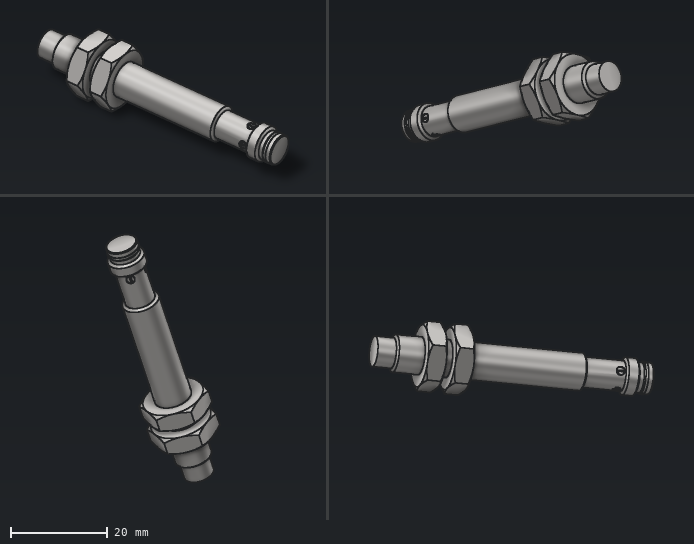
import cadquery as cq
import math

LENGTH = 60.0
NECK_DIAMETER = 6.5
BODY_DIAMETER = 8.0
TIP_LENGTH = 4.0
BODY_END = 45.5
BODY_FRONT_CONE = 0.4
BODY_REAR_CONE = 0.4

COLLAR_START = 53.95
COLLAR_END = 56.95
COLLAR_CONE = 0.4
PLUG_RIDGE_START = 58.2
PLUG_RIDGE_END = 58.8
PLUG_RIDGE_DIAMETER = 6.9
PLUG_RIDGE_LEAD_IN = 0.3
PLUG_DIAMETER = 6.7
PLUG_END_CHAMFER = 0.2

NUT_FLATS = 13.0
NUT_THICKNESS = 4.0
NUT_STARTS = (10.0, 16.0)
NUT_CHAMFER_ANGLE = 30.0

WINDOW_X = 52.8
WINDOW_DIAMETER = 1.8
WINDOW_FLOOR_DIAMETER = 6.0
WINDOW_SLOT_WIDTH = 0.25
WINDOW_SLOT_DEPTH = 0.5
WINDOW_COUNT = 4


def make_barrel():
    neck = NECK_DIAMETER / 2
    body = BODY_DIAMETER / 2
    ridge = PLUG_RIDGE_DIAMETER / 2
    plug = PLUG_DIAMETER / 2
    profile = [
        (0, 0),
        (0, neck),
        (TIP_LENGTH, neck),
        (TIP_LENGTH + BODY_FRONT_CONE, body),
        (BODY_END - BODY_REAR_CONE, body),
        (BODY_END, neck),
        (COLLAR_START, neck),
        (COLLAR_START + COLLAR_CONE, body),
        (COLLAR_END - COLLAR_CONE, body),
        (COLLAR_END, neck),
        (PLUG_RIDGE_START - PLUG_RIDGE_LEAD_IN, neck),
        (PLUG_RIDGE_START, ridge),
        (PLUG_RIDGE_END, ridge),
        (PLUG_RIDGE_END, plug),
        (LENGTH - PLUG_END_CHAMFER, plug),
        (LENGTH, plug - PLUG_END_CHAMFER),
        (LENGTH, 0),
    ]
    return cq.Workplane("XY").polyline(profile).close().revolve(360, (0, 0, 0), (1, 0, 0))


def make_nut(start):
    """Hexagon with two corners on the Y axis and both ends chamfered by a cone."""
    flat_radius = NUT_FLATS / 2
    corner_radius = flat_radius / math.cos(math.pi / 6)
    drop = (corner_radius - flat_radius) * math.tan(math.radians(NUT_CHAMFER_ANGLE))
    end = start + NUT_THICKNESS
    hexagon = (
        cq.Workplane("YZ", origin=(start, 0, 0))
        .polygon(6, 2 * corner_radius)
        .extrude(NUT_THICKNESS)
    )
    envelope_profile = [
        (start, 0),
        (start, flat_radius),
        (start + drop, corner_radius),
        (end - drop, corner_radius),
        (end, flat_radius),
        (end, 0),
    ]
    envelope = (
        cq.Workplane("XY").polyline(envelope_profile).close().revolve(360, (0, 0, 0), (1, 0, 0))
    )
    return hexagon.intersect(envelope)


def make_window(angle):
    """Cutter for one window: a shallow round recess crossed by a slot along the barrel."""
    inner = cq.Workplane("YZ").circle(WINDOW_FLOOR_DIAMETER / 2).extrude(LENGTH)
    slot_floor = WINDOW_FLOOR_DIAMETER / 2 - WINDOW_SLOT_DEPTH
    bore = cq.Workplane("XY", origin=(WINDOW_X, 0, slot_floor)).circle(WINDOW_DIAMETER / 2)
    bore = bore.extrude(NECK_DIAMETER / 2)
    slot = bore.intersect(
        cq.Workplane("XY", origin=(WINDOW_X, 0, 0))
        .rect(WINDOW_DIAMETER, WINDOW_SLOT_WIDTH)
        .extrude(LENGTH)
    )
    return bore.cut(inner).union(slot).rotate((0, 0, 0), (1, 0, 0), angle)


result = make_barrel()
for nut_start in NUT_STARTS:
    result = result.union(make_nut(nut_start))
for index in range(WINDOW_COUNT):
    result = result.cut(make_window(index * 360 / WINDOW_COUNT))